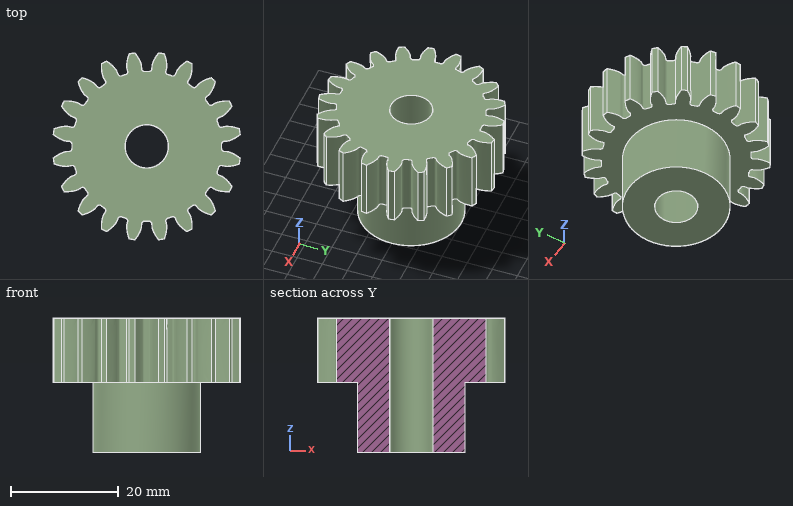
import cadquery as cq
import math

overall_width = 34.75
gear_thickness = 12.02
hub_length = 13.0
hub_diameter = 20.0
bore_diameter = 8.0

tooth_count = 20
pressure_angle = math.radians(20)
addendum_factor = 1.0
dedendum_factor = 1.25
root_fillet = 0.5
flank_steps = 6


def involute(angle):
    """Involute function of a pressure angle, in radians."""
    return math.tan(angle) - angle


tip_per_module = tooth_count / 2 + addendum_factor
base_per_module = tooth_count / 2 * math.cos(pressure_angle)
tooth_pitch_angle = 2 * math.pi / tooth_count
base_half_angle = tooth_pitch_angle / 4 + involute(pressure_angle)
tip_half_angle = base_half_angle - involute(math.acos(base_per_module / tip_per_module))

tip_radius = overall_width / 2 / math.cos(tooth_pitch_angle / 2 - tip_half_angle)
module = tip_radius / tip_per_module
base_radius = module * base_per_module
root_radius = module * (tooth_count / 2 - dedendum_factor)


def polar(radius, angle):
    """X and Y of a point given by radius and angle about the bore axis."""
    return (radius * math.cos(angle), radius * math.sin(angle))


def flank_points(center_angle, side):
    """Involute points from base circle to tip; side is -1 or +1 about the tooth centre."""
    points = []
    for step in range(flank_steps + 1):
        radius = base_radius + (tip_radius - base_radius) * (step / flank_steps) ** 2
        half_angle = base_half_angle - involute(math.acos(base_radius / radius))
        points.append(polar(radius, center_angle + side * half_angle))
    return points


def gear_outline():
    """Closed gear profile with sharp root corners, on top of the hub."""
    first_center = tooth_pitch_angle / 2
    outline = cq.Workplane("XY").workplane(offset=hub_length)
    outline = outline.moveTo(*polar(root_radius, first_center - base_half_angle))
    for tooth in range(tooth_count):
        center = first_center + tooth * tooth_pitch_angle
        rising = flank_points(center, -1)
        falling = flank_points(center, 1)[::-1]
        next_start = center + tooth_pitch_angle - base_half_angle
        outline = (
            outline.lineTo(*rising[0])
            .spline(rising[1:], includeCurrent=True)
            .threePointArc(polar(tip_radius, center), falling[0])
            .spline(falling[1:], includeCurrent=True)
            .lineTo(*polar(root_radius, center + base_half_angle))
            .threePointArc(
                polar(root_radius, center + tooth_pitch_angle / 2),
                polar(root_radius, next_start),
            )
        )
    return outline.close()


def root_corner_edges(gear):
    """Upright edges where the flanks meet the root circle."""
    limit = (root_radius + base_radius) / 2
    return gear.edges("|Z").filter(lambda edge: math.hypot(edge.Center().x, edge.Center().y) < limit)


gear = gear_outline().extrude(gear_thickness)
gear = root_corner_edges(gear).fillet(root_fillet)

hub = cq.Workplane("XY").circle(hub_diameter / 2).extrude(hub_length)
bore = cq.Workplane("XY").circle(bore_diameter / 2).extrude(hub_length + gear_thickness)

result = gear.union(hub).cut(bore)